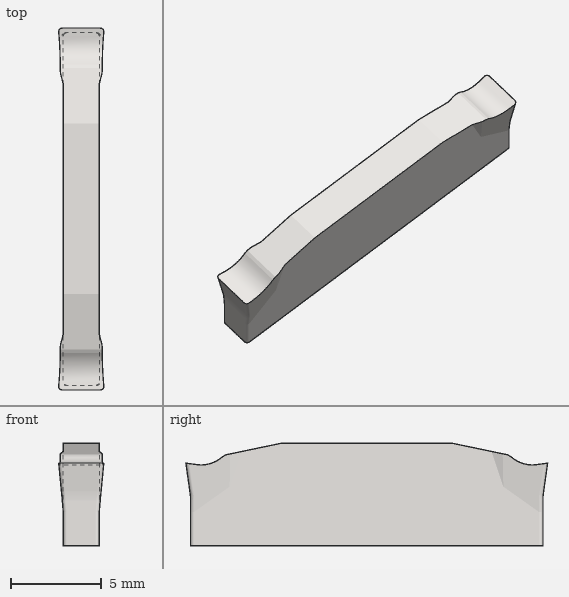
import cadquery as cq
import math

half_length = 10.0
body_half_width = 1.0
height = 5.69
corner_radius = 0.2

edge_height = 4.58
land_depth = 0.46
land_drop = 0.06
groove_end_depth = 2.05
groove_end_height = 4.95
groove_low_depth = 0.85
groove_low_height = 4.48
crest_depth = 2.22
crest_height = 5.05
top_start_depth = 5.29
flank_low_height = 3.02
foot_depth = 0.26
foot_height = 2.5
flank_low_depth = 0.22
blend_middle_depth = foot_depth - (foot_depth - flank_low_depth) / 4

flare_angle = 5.0
flare_front_depth = 0.45
flare_front_height = 1.85
flare_corner_depth = 2.45
flare_corner_height = 3.26
flare_back_depth = 3.1
flare_back_height = 5.25
flare_back_edge_depth = 2.48

CUTTER_SIZE = 4 * half_length
MAX_HALF_WIDTH = 2 * body_half_width
SELECTION_MARGIN = 0.02


def inward(depth):
    """Y position at a given distance inward from the front cutting edge."""
    return depth - half_length


def quarter_blank(half_width):
    """Front half of the outline, extruded from the middle plane towards +X."""
    return (
        cq.Workplane("YZ")
        .moveTo(0, 0)
        .lineTo(inward(foot_depth), 0)
        .lineTo(inward(foot_depth), foot_height)
        .threePointArc(
            (inward(blend_middle_depth), (foot_height + flank_low_height) / 2),
            (inward(flank_low_depth), flank_low_height),
        )
        .lineTo(inward(0), edge_height)
        .lineTo(inward(land_depth), edge_height - land_drop)
        .threePointArc(
            (inward(groove_low_depth), groove_low_height),
            (inward(groove_end_depth), groove_end_height),
        )
        .lineTo(inward(crest_depth), crest_height)
        .lineTo(inward(top_start_depth), height)
        .lineTo(0, height)
        .close()
        .extrude(half_width)
    )


def trim_outside(solid, point, normal):
    """Remove everything on the side of a plane that its normal points to."""
    cutter = (
        cq.Workplane(cq.Plane(origin=point, normal=normal))
        .rect(CUTTER_SIZE, CUTTER_SIZE)
        .extrude(CUTTER_SIZE)
    )
    return solid.cut(cutter)


def flared_head():
    """Wide blank trimmed to the leaning side face and the back face of the flare."""
    flare = math.tan(math.radians(flare_angle))
    root_slope = (flare_corner_height - flare_front_height) / (flare_corner_depth - flare_front_depth)
    root_corner = cq.Vector(body_half_width, inward(flare_corner_depth), flare_corner_height)
    side_normal = cq.Vector(1, flare * root_slope, -flare)

    back_point = cq.Vector(body_half_width, inward(flare_back_depth), flare_back_height)
    edge_shift = flare_back_edge_depth - flare_corner_depth
    edge_rise = flare_back_height - flare_corner_height
    edge_top = root_corner + cq.Vector(
        flare * (edge_rise - root_slope * edge_shift), edge_shift, edge_rise
    )
    back_normal = (back_point - root_corner).cross(edge_top - root_corner)

    head = trim_outside(quarter_blank(MAX_HALF_WIDTH), root_corner, side_normal)
    return trim_outside(head, root_corner, back_normal)


def end_corner_edges(solid):
    """Edges running up the outer corner of the end face."""
    box = cq.selectors.BoxSelector(
        (body_half_width - SELECTION_MARGIN, inward(-SELECTION_MARGIN), -SELECTION_MARGIN),
        (MAX_HALF_WIDTH, inward(foot_depth + SELECTION_MARGIN), edge_height + SELECTION_MARGIN),
        boundingbox=True,
    )
    return solid.edges(box)


quarter = quarter_blank(body_half_width).union(flared_head())
quarter = end_corner_edges(quarter).fillet(corner_radius)
half = quarter.union(quarter.mirror("YZ"))
result = half.union(half.mirror("XZ")).clean()